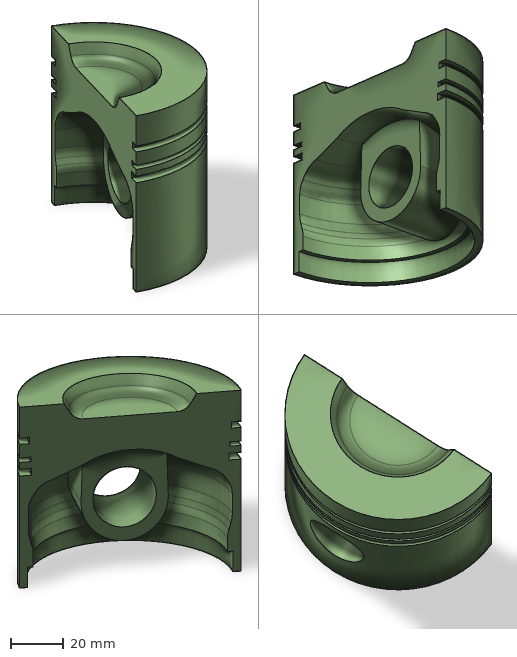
import cadquery as cq

body_radius = 43.5
body_height = 75.0

ring_grooves = [(62.1, 59.6, 3.9), (53.9, 52.1, 4.4), (49.2, 46.5, 4.8)]
groove_overshoot = 0.9

bowl_rim_radius = 26.0
bowl_wall_end_radius = 23.5
bowl_wall_end_height = 70.9
bowl_floor_radius = 18.5
bowl_floor_height = 68.1
bowl_arc_mid = (21.4, 68.9)

skirt_bore_radius = 40.3
skirt_bore_height = 8.4
land_radius = 38.1
land_top_height = 14.2
cavity_radius = 40.0
cavity_wall_bottom = 24.2
cavity_wall_top = 32.3
neck_bottom = (38.6, 17.6)
neck_top = (39.4, 20.2)
shoulder_break = (38.1, 37.9)
shoulder_arc_mid = (35.15, 41.6)
shoulder_top = (30.6, 43.9)
dome_arc_mid = (9.6, 52.8)
dome_edge = (18.8, 49.0)
dome_height = 53.9

boss_face_y = 10.9
boss_radius = 17.1
boss_center_height = 29.1
boss_top_half_width = 16.4
boss_top_height = 48.9
pin_hole_radius = 12.4
pin_hole_height = 30.0


def revolve_about_z(profile):
    return profile.close().revolve(360, (0, 0, 0), (0, 1, 0))


def make_body():
    """Solid half cylinder on the +Y side."""
    cylinder = cq.Workplane("XY").circle(body_radius).extrude(body_height)
    diameter = 2 * body_radius
    half_space = cq.Workplane("XY").box(diameter, diameter, body_height, centered=(True, False, False))
    return cylinder.intersect(half_space)


def make_groove(top, bottom, depth):
    profile = (
        cq.Workplane("XZ")
        .moveTo(body_radius - depth, bottom)
        .lineTo(body_radius + groove_overshoot, bottom)
        .lineTo(body_radius + groove_overshoot, top)
        .lineTo(body_radius - depth, top)
    )
    return revolve_about_z(profile)


def make_bowl():
    profile = (
        cq.Workplane("XZ")
        .moveTo(0, body_height)
        .lineTo(bowl_rim_radius, body_height)
        .lineTo(bowl_wall_end_radius, bowl_wall_end_height)
        .threePointArc(bowl_arc_mid, (bowl_floor_radius, bowl_floor_height))
        .lineTo(0, bowl_floor_height)
    )
    return revolve_about_z(profile)


def make_cavity():
    profile = (
        cq.Workplane("XZ")
        .lineTo(skirt_bore_radius, 0)
        .lineTo(skirt_bore_radius, skirt_bore_height)
        .lineTo(land_radius, skirt_bore_height)
        .lineTo(land_radius, land_top_height)
        .tangentArcPoint(neck_bottom, relative=False)
        .lineTo(*neck_top)
        .tangentArcPoint((cavity_radius, cavity_wall_bottom), relative=False)
        .lineTo(cavity_radius, cavity_wall_top)
        .tangentArcPoint(shoulder_break, relative=False)
        .threePointArc(shoulder_arc_mid, shoulder_top)
        .lineTo(*dome_edge)
        .threePointArc(dome_arc_mid, (0, dome_height))
    )
    return revolve_about_z(profile)


def make_boss():
    """Boss reaching from its flat inner face outward to the skirt."""
    profile = (
        cq.Workplane("XZ", origin=(0, boss_face_y, 0))
        .moveTo(-boss_radius, boss_center_height)
        .threePointArc((0, boss_center_height - boss_radius), (boss_radius, boss_center_height))
        .lineTo(boss_top_half_width, boss_top_height)
        .lineTo(boss_top_half_width, dome_height)
        .lineTo(-boss_top_half_width, dome_height)
        .lineTo(-boss_top_half_width, boss_top_height)
        .close()
    )
    return profile.extrude(-body_radius)


def make_pin_hole():
    hole = cq.Workplane("XZ").center(0, pin_hole_height).circle(pin_hole_radius)
    return hole.extrude(-2 * body_radius)


result = make_body().cut(make_cavity().cut(make_boss())).cut(make_bowl())
for groove_top, groove_bottom, groove_depth in ring_grooves:
    result = result.cut(make_groove(groove_top, groove_bottom, groove_depth))
result = result.cut(make_pin_hole())